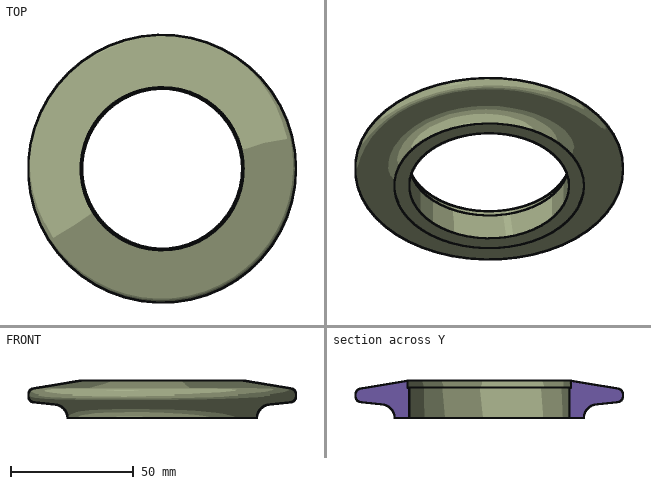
import cadquery as cq
import math

outer_radius = 54.5
height = 15.3

bore_radius = 32.5
counterbore_radius = 33.19
counterbore_depth = 2.9
counterbore_floor_z = height - counterbore_depth

rim_rounding = 2.5
rim_center_radius = outer_radius - rim_rounding
band_top_z = 9.6
band_bottom_z = 8.8

top_slope = math.radians(9.5)
underside_slope = math.radians(5)

base_radius = 38.6
cove_radius = 5.5
cove_center_radius = base_radius + cove_radius


def arc_point(center_r, center_z, radius, angle):
    """Point of the half section at the given angle from the outward direction."""
    return (center_r + radius * math.cos(angle), center_z + radius * math.sin(angle))


upper_turn = math.pi / 2 - top_slope
lower_turn = underside_slope - math.pi / 2
upper_middle = arc_point(rim_center_radius, band_top_z, rim_rounding, upper_turn / 2)
upper_end = arc_point(rim_center_radius, band_top_z, rim_rounding, upper_turn)
lower_middle = arc_point(rim_center_radius, band_bottom_z, rim_rounding, lower_turn / 2)
lower_start = arc_point(rim_center_radius, band_bottom_z, rim_rounding, lower_turn)

cove_end_angle = math.pi / 2 + underside_slope
cove_middle_angle = (math.pi + cove_end_angle) / 2
cove_middle = arc_point(cove_center_radius, 0, cove_radius, cove_middle_angle)
cove_end = arc_point(cove_center_radius, 0, cove_radius, cove_end_angle)

ring_section = (
    cq.Workplane("XZ")
    .moveTo(bore_radius, 0)
    .lineTo(base_radius, 0)
    .threePointArc(cove_middle, cove_end)
    .lineTo(*lower_start)
    .threePointArc(lower_middle, (outer_radius, band_bottom_z))
    .lineTo(outer_radius, band_top_z)
    .threePointArc(upper_middle, upper_end)
    .lineTo(counterbore_radius, height)
    .lineTo(counterbore_radius, counterbore_floor_z)
    .lineTo(bore_radius, counterbore_floor_z)
    .close()
)

result = ring_section.revolve(360, (0, 0, 0), (0, 1, 0))